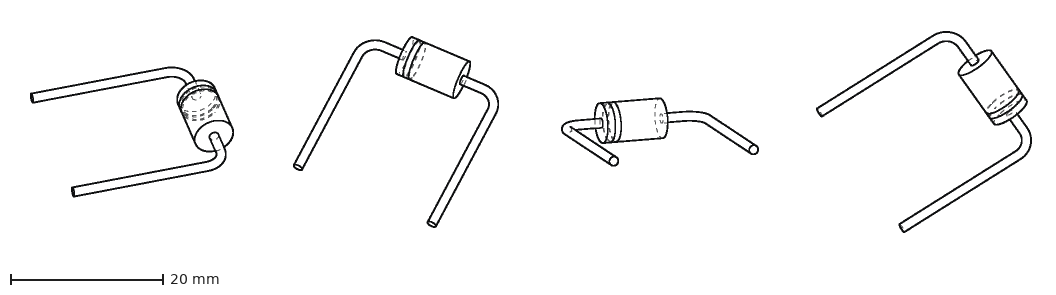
import cadquery as cq

overall_width = 20.75
body_diameter = 5.3
body_length = 8.35
lead_diameter = 1.25
bend_radius = 2.5
lead_reach = 20.9
band_offset = 1.05
band_width = 0.8
band_thickness = 0.2

body_end = body_length / 2
body_radius = body_diameter / 2
band_start = -body_end + band_offset
leg_offset = (overall_width - lead_diameter) / 2


def make_band():
    """Polarity band: a ring whose outer face is flush with the body."""
    return (
        cq.Workplane("YZ", origin=(band_start, 0, 0))
        .circle(body_radius)
        .circle(body_radius - band_thickness)
        .extrude(band_width)
    )


def make_body(band):
    """Cylindrical body with a groove that the band fills."""
    cylinder = cq.Workplane("YZ", origin=(-body_end, 0, 0)).circle(body_radius).extrude(body_length)
    return cylinder.cut(band)


def make_lead(side):
    """Round wire from one body end face, bent to -Y; side is -1 for the -X end, +1 for the +X end."""
    bend_start = leg_offset - bend_radius
    path = (
        cq.Workplane("XY")
        .moveTo(side * body_end, 0)
        .lineTo(side * bend_start, 0)
        .tangentArcPoint((side * leg_offset, -bend_radius), relative=False)
        .lineTo(side * leg_offset, -lead_reach)
    )
    return cq.Workplane("YZ", origin=(side * body_end, 0, 0)).circle(lead_diameter / 2).sweep(path)


band = make_band()
body = make_body(band)
leads = [make_lead(side) for side in (-1, 1)]

result = cq.Compound.makeCompound([body.val(), band.val(), *[lead.val() for lead in leads]])